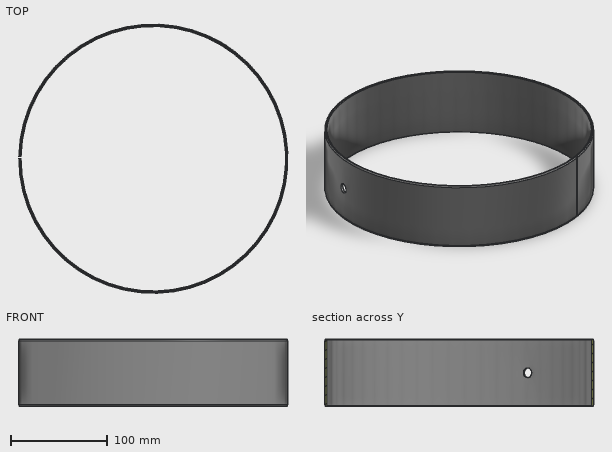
import cadquery as cq
import math

OUTER_DIAMETER = 280.0
WALL_THICKNESS = 2.5
HEIGHT = 70.0

OUTER_BEVEL_HEIGHT = 1.8
OUTER_BEVEL_ANGLE = 20.0
INNER_CHAMFER = 0.8

SLIT_ANGLE = 1.0
SLIT_END_ANGLE = 180.0

HOLE_DIAMETER = 10.0
HOLE_TO_SLIT_ANGLE = 120.0

OUTER_RADIUS = OUTER_DIAMETER / 2
INNER_RADIUS = OUTER_RADIUS - WALL_THICKNESS
HALF_HEIGHT = HEIGHT / 2
OUTER_BEVEL_WIDTH = OUTER_BEVEL_HEIGHT * math.tan(math.radians(OUTER_BEVEL_ANGLE))
HOLE_ANGLE = SLIT_END_ANGLE - SLIT_ANGLE - HOLE_TO_SLIT_ANGLE


def make_band():
    """Open band centred on Z = 0: a bevelled wall section swept around Z between the slit edges."""
    outer_bevel_z = HALF_HEIGHT - OUTER_BEVEL_HEIGHT
    inner_chamfer_z = HALF_HEIGHT - INNER_CHAMFER
    rim_outer_radius = OUTER_RADIUS - OUTER_BEVEL_WIDTH
    rim_inner_radius = INNER_RADIUS + INNER_CHAMFER
    section = [
        (OUTER_RADIUS, -outer_bevel_z),
        (OUTER_RADIUS, outer_bevel_z),
        (rim_outer_radius, HALF_HEIGHT),
        (rim_inner_radius, HALF_HEIGHT),
        (INNER_RADIUS, inner_chamfer_z),
        (INNER_RADIUS, -inner_chamfer_z),
        (rim_inner_radius, -HALF_HEIGHT),
        (rim_outer_radius, -HALF_HEIGHT),
    ]
    return (
        cq.Workplane("XZ")
        .polyline(section)
        .close()
        .revolve(360 - SLIT_ANGLE, (0, 0), (0, 1))
        .rotate((0, 0, 0), (0, 0, 1), SLIT_END_ANGLE)
    )


def make_radial_hole():
    """Cutter for the single round hole through the wall at mid-height."""
    overshoot = WALL_THICKNESS
    return (
        cq.Workplane("YZ", origin=(INNER_RADIUS - overshoot, 0, 0))
        .circle(HOLE_DIAMETER / 2)
        .extrude(WALL_THICKNESS + 2 * overshoot)
        .rotate((0, 0, 0), (0, 0, 1), HOLE_ANGLE)
    )


result = make_band().cut(make_radial_hole())